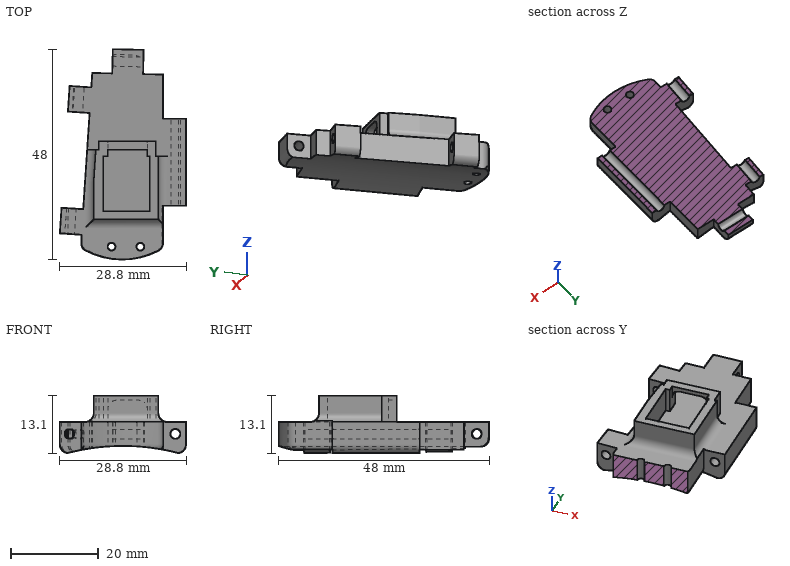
import cadquery as cq
import math

plate_depth = 7.13
crown_depth = 5.5
hollow_radius = 50.0
bottom_round = 2.0
part_length = 47.97

side_tilt = math.radians(3.8)
back_tilt = math.radians(1.3)
body_left = -9.46
body_right = 9.18
left_edge_start = 5.64
left_edge_length = 37.0

nose_radius = 17.8
nose_center_x = -0.15
nose_left_round = 1.65
nose_right_round = 2.2
nose_hole_diameter = 1.71
nose_hole_spacing = 6.57
nose_hole_center = (0.69, 2.96)

lug_hole_diameter = 2.2
lug_hole_depth = 2.73
lug_width = 5.9
left_lug_reach = 4.95
left_lug_starts = (0.0, 27.8)
left_lug_hole_inset = 2.2
right_lug_face = 14.39
right_lug_front = 12.23
right_lug_back = 32.15
right_lug_hole_inset = 2.45
back_lug_start = 4.55
back_lug_width = 7.08
back_lug_reach = 5.52
back_lug_depth = 5.7
back_lug_hole_inset = 2.75
lug_root = 2.0

boss_height = 6.0
boss_flare = 2.0
boss_left = -6.65
boss_right = 8.09
boss_front = 9.18
boss_lean_start = 17.8
boss_left_shoulder = 25.0
boss_right_shoulder = 23.5
boss_neck_left = -5.49
boss_neck_right = 7.5
boss_back = 26.95
pocket_left = -4.48
pocket_right = 6.07
pocket_front = 11.05
pocket_neck_left = -3.47
pocket_neck_right = 5.5
pocket_back = 25.0
window_height = 5.0
window_round = 2.0

overshoot = 5.0
selection_margin = 0.1


def box(x_min, x_max, y_min, y_max, z_min, z_max):
    """Axis-aligned box given by its limits."""
    size = (x_max - x_min, y_max - y_min, z_max - z_min)
    return cq.Workplane("XY").box(*size, centered=False).translate((x_min, y_min, z_min))


def prism(points, z_min, z_max):
    """Upright prism on a closed outline."""
    return cq.Workplane("XY", origin=(0, 0, z_min)).polyline(points).close().extrude(z_max - z_min)


def left_edge_point(along):
    """Point on the leaning left edge, at a distance along it."""
    x = body_left + along * math.sin(side_tilt)
    y = left_edge_start + along * math.cos(side_tilt)
    return (x, y)


def left_edge_x(y):
    """X of the leaning left edge of the plate."""
    return body_left + (y - left_edge_start) * math.tan(side_tilt)


back_left_corner = left_edge_point(left_edge_length)
back_right_y = back_left_corner[1] - (body_right - back_left_corner[0]) * math.tan(back_tilt)


def lug(width, reach, depth, hole_inset):
    """Drilled lug growing toward -X from the origin, its width along +Y, lower outer edge rounded."""
    body = box(-reach, lug_root, 0, width, -depth, 0)
    body = body.edges("<X and <Z").fillet(bottom_round)
    bore = (
        cq.Workplane("XZ", origin=(0, -overshoot, 0))
        .center(hole_inset - reach, -lug_hole_depth)
        .circle(lug_hole_diameter / 2)
        .extrude(-(width + 2 * overshoot))
    )
    return body.cut(bore)


def left_lug(along):
    """Lug square to the leaning left edge, at a distance along it."""
    x, y = left_edge_point(along)
    body = lug(lug_width, left_lug_reach, plate_depth, left_lug_hole_inset)
    return body.rotate((0, 0, 0), (0, 0, 1), -math.degrees(side_tilt)).translate((x, y, 0))


def right_lug():
    """Long lug on the straight right side."""
    width = right_lug_back - right_lug_front
    body = lug(width, right_lug_face - body_right, plate_depth, right_lug_hole_inset)
    return body.rotate((0, 0, 0), (0, 0, 1), 180).translate((body_right, right_lug_back, 0))


def back_lug():
    """Lug on the back edge, turned to face +Y so that its width runs along +X."""
    body = lug(back_lug_width, back_lug_reach, back_lug_depth, back_lug_hole_inset)
    body = body.rotate((0, 0, 0), (0, 0, 1), -90 - math.degrees(back_tilt))
    x = back_left_corner[0] + back_lug_start * math.cos(back_tilt)
    y = back_left_corner[1] - back_lug_start * math.sin(back_tilt)
    return body.translate((x, y, 0))


def nose_edge_y(x):
    """Y of the arc that ends the nose."""
    return nose_radius - math.sqrt(nose_radius ** 2 - (x - nose_center_x) ** 2)


def nose_block(left):
    """Block of the curved front end, square at the left, with its right corner rounded in plan."""
    block = (
        cq.Workplane("XY", origin=(0, 0, -plate_depth))
        .moveTo(left, right_lug_front)
        .lineTo(left, nose_edge_y(left))
        .threePointArc((nose_center_x, 0), (body_right, nose_edge_y(body_right)))
        .lineTo(body_right, right_lug_front)
        .close()
        .extrude(plate_depth)
    )
    return block.edges("|Z and >X").edges("<Y").fillet(nose_right_round)


def nose():
    """Curved front end. The lower round runs along the arc, the right corner and the right side."""
    rounded = nose_block(body_left - bottom_round)
    nose_tip = cq.selectors.NearestToPointSelector((nose_center_x, 0, -plate_depth))
    rounded = rounded.edges("<Z").edges(nose_tip).fillet(bottom_round)
    plan = nose_block(body_left).edges("|Z and <X").edges("<Y").fillet(nose_left_round)
    left_waste = prism(
        [
            (body_left, left_edge_start),
            (left_edge_x(right_lug_front), right_lug_front),
            (body_left, right_lug_front),
        ],
        -plate_depth,
        0,
    )
    return rounded.intersect(plan).cut(left_waste)


def plate():
    """Flat plate with its nose and lugs, before the underside is hollowed."""
    outline = [
        (left_edge_x(right_lug_front), right_lug_front),
        (body_right, right_lug_front),
        (body_right, back_right_y),
        back_left_corner,
    ]
    body = prism(outline, -plate_depth, 0).union(nose())
    for along in left_lug_starts:
        body = body.union(left_lug(along))
    return body.union(right_lug()).union(back_lug())


def boss_lean_x(y):
    """X of the leaning part of the boss's left wall."""
    return boss_left + (y - boss_lean_start) * math.tan(side_tilt)


def flared_box():
    """Main box of the boss, with a concave flare at the foot of its left, front and right walls."""
    far_back = boss_back + overshoot
    walls = [
        (boss_left, boss_front),
        (boss_right, boss_front),
        (boss_right, far_back),
        (boss_lean_x(far_back), far_back),
        (boss_left, boss_lean_start),
    ]
    pad = box(body_left - overshoot, right_lug_face, 0, far_back + overshoot, -boss_flare, 0)
    flare = pad.union(prism(walls, 0, boss_height))
    foot_edges = cq.selectors.BoxSelector(
        (boss_left - selection_margin, boss_front - selection_margin, -selection_margin),
        (boss_right + selection_margin, far_back + selection_margin, selection_margin),
        boundingbox=True,
    )
    flare = flare.edges(foot_edges).fillet(boss_flare)
    middle = (boss_left + boss_right) / 2
    left_half = box(body_left, middle, 0, boss_left_shoulder, 0, boss_height)
    right_half = box(middle, right_lug_face, 0, boss_right_shoulder, 0, boss_height)
    return flare.intersect(left_half.union(right_half))


def boss_foot_limit():
    """Column over the plate and the right lug; the flare does not overhang it."""
    body_column = prism(
        [
            (body_left, 0),
            (body_right, 0),
            (body_right, back_right_y),
            back_left_corner,
            (body_left, left_edge_start),
        ],
        0,
        boss_height,
    )
    lug_column = box(0, right_lug_face, right_lug_front, right_lug_back, 0, boss_height)
    return body_column.union(lug_column)


def boss():
    """Solid boss: the flared box and the narrower neck behind it."""
    neck_middle = (boss_front + boss_right_shoulder) / 2
    neck = box(boss_neck_left, boss_neck_right, neck_middle, boss_back, 0, boss_height)
    return flared_box().intersect(boss_foot_limit()).union(neck)


def pocket():
    """Stepped pocket down to the plate top, with a round-topped window out of its back."""
    main = box(pocket_left, pocket_right, pocket_front, boss_right_shoulder, 0, boss_height)
    neck = box(pocket_neck_left, pocket_neck_right, pocket_front, pocket_back, 0, boss_height)
    window = box(
        pocket_neck_left, pocket_neck_right, pocket_front, boss_back + overshoot, 0, window_height
    )
    window = window.edges("|Y and >Z").fillet(window_round)
    return main.union(neck).union(window)


def underside_hollow():
    """Cylinder along Y that leaves the underside concave."""
    return (
        cq.Workplane("XZ", origin=(0, -overshoot, 0))
        .center(0, -crown_depth - hollow_radius)
        .circle(hollow_radius)
        .extrude(-(part_length + 2 * overshoot))
    )


def nose_holes():
    """Pair of upright through holes in the nose."""
    return (
        cq.Workplane("XY", origin=(*nose_hole_center, -plate_depth))
        .rarray(nose_hole_spacing, 1, 2, 1)
        .circle(nose_hole_diameter / 2)
        .extrude(plate_depth)
    )


result = plate().union(boss()).cut(pocket()).cut(underside_hollow()).cut(nose_holes())